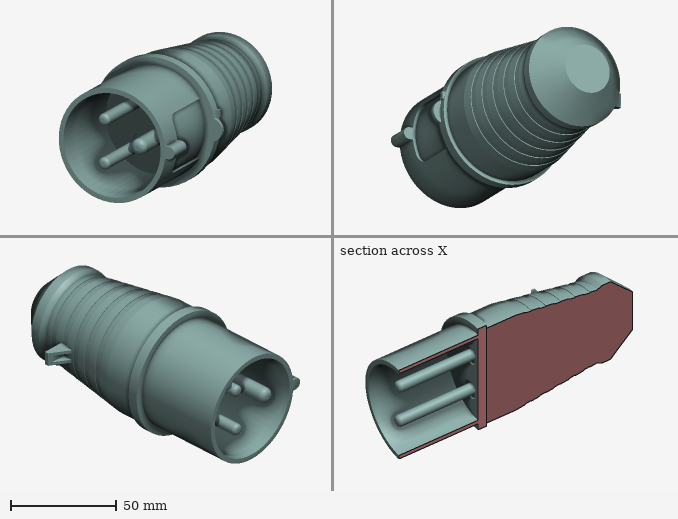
import cadquery as cq
import math


shroud_outer_radius = 56.5 / 2
shroud_inner_radius = 51.5 / 2
flange_radius = 64.25 / 2
flange_front = 45.25
flange_thickness = 5.25
flange_back = flange_front + flange_thickness
shroud_floor = flange_front

key_tip_centre = 30.0
key_tip_radius = 3.0
key_length = 13.0
flange_lug_radius = 5.82
flange_lug_thickness = 2.0

relief_floor_radius = 26.8
relief_half_width = 14.7
relief_corner_radius = 4.5

index_outer_x = 32.65
index_bottom = 5.5
index_top = 9.2
index_front = flange_front + 2.9
index_thickness = 2.0

pin_circle_radius = 12.5
pin_tip_flat_radius = 1.0
phase_pin_radius = 3.0
earth_pin_radius = 4.0
phase_pin_tip = 2.8
earth_pin_tip = 1.35
phase_recess_radius = 5.0
phase_recess_depth = 1.0
earth_angle = 0
phase_angles = (120, 240)

handle_radius = 60.5 / 2
handle_length = 134.0
taper_start = 67.0
taper_end = 113.4
taper_end_radius = 23.25
collar_radius = 49.5 / 2
collar_front = 116.4
cable_end_radius = 12.0
collar_back = handle_length - (collar_radius - cable_end_radius)

groove_count = 5
groove_start = 72.3
groove_pitch = 8.4
groove_width = 3.5
groove_depth = 0.4

catch_tip_x = -35.82
catch_width = 7.0
catch_back = 101.9
catch_tip_thickness = 2.0
catch_root_x = -26.2
catch_root_front = 93.9
catch_embed_x = -22.0
catch_wall = 1.7
catch_tip_wall = 1.9
catch_back_wall = 2.9


def cylinder(radius, y_start, y_end, x=0.0, z=0.0):
    """Cylinder parallel to Y, centred on (x, z)."""
    disc = cq.Workplane("XZ", origin=(x, y_start, z)).circle(radius)
    return disc.extrude(-(y_end - y_start))


def block(x_range, y_range, z_range):
    """Axis-aligned block between the given limits."""
    sizes = [high - low for low, high in (x_range, y_range, z_range)]
    corner = (x_range[0], y_range[0], z_range[0])
    return cq.Workplane("XY").box(*sizes, centered=False).translate(corner)


def pin_place(angle):
    """The (x, z) place of a pin at an angle on the pin circle."""
    turn = math.radians(angle)
    return pin_circle_radius * math.cos(turn), pin_circle_radius * math.sin(turn)


def contact_pin(radius, tip, angle):
    """Pin with a rounded tip, standing on the shroud floor and rooted in the flange."""
    x, z = pin_place(angle)
    pin = cylinder(radius, tip, flange_back, x, z)
    return pin.faces("<Y").edges().fillet(radius - pin_tip_flat_radius)


def shroud_key():
    """Round-nosed key on the outside of the shroud mouth."""
    bar = block((shroud_inner_radius, key_tip_centre), (0, key_length), (-key_tip_radius, key_tip_radius))
    key = bar.union(cylinder(key_tip_radius, 0, key_length, key_tip_centre))
    return key.cut(cylinder(shroud_inner_radius, 0, key_length))


def wall_relief():
    """Shallow round-cornered relief between the key and the flange."""
    window = block(
        (0, flange_radius),
        (key_length, flange_front),
        (-relief_half_width, relief_half_width),
    )
    window = window.faces("<Y").edges("|X").fillet(relief_corner_radius)
    return window.cut(cylinder(relief_floor_radius, 0, flange_front))


def build_front():
    """Shroud, flange and contact pins."""
    front = cylinder(shroud_outer_radius, 0, flange_front)
    front = front.cut(wall_relief())
    front = front.union(cylinder(flange_radius, flange_front, flange_back))
    front = front.cut(cylinder(shroud_inner_radius, 0, shroud_floor))
    front = front.union(shroud_key())
    lug_back = flange_front + flange_lug_thickness
    front = front.union(cylinder(flange_lug_radius, flange_front, lug_back, key_tip_centre))
    front = front.union(
        block(
            (key_tip_centre, index_outer_x),
            (index_front, index_front + index_thickness),
            (index_bottom, index_top),
        )
    )
    for angle in phase_angles:
        x, z = pin_place(angle)
        recess_floor = shroud_floor + phase_recess_depth
        front = front.cut(cylinder(phase_recess_radius, shroud_floor, recess_floor, x, z))
        front = front.union(contact_pin(phase_pin_radius, phase_pin_tip, angle))
    return front.union(contact_pin(earth_pin_radius, earth_pin_tip, earth_angle))


def taper_radius(y):
    """Radius of the ungrooved grip taper at y."""
    share = (y - taper_start) / (taper_end - taper_start)
    return handle_radius + share * (taper_end_radius - handle_radius)


def handle_body():
    """Revolved handle with its grooved grip taper, collar and cable cone."""
    profile = cq.Workplane("XY").moveTo(0, flange_back).lineTo(handle_radius, flange_back)
    profile = profile.lineTo(handle_radius, taper_start)
    for index in range(groove_count):
        front = groove_start + index * groove_pitch
        back = front + groove_width
        profile = profile.lineTo(taper_radius(front), front)
        profile = profile.lineTo(taper_radius(front) - groove_depth, front)
        profile = profile.lineTo(taper_radius(back) - groove_depth, back)
        profile = profile.lineTo(taper_radius(back), back)
    profile = profile.lineTo(taper_end_radius, taper_end)
    profile = profile.lineTo(collar_radius, collar_front)
    profile = profile.lineTo(collar_radius, collar_back)
    profile = profile.lineTo(cable_end_radius, handle_length)
    profile = profile.lineTo(0, handle_length)
    return profile.close().revolve(360, (0, 0, 0), (0, 1, 0))


def catch():
    """Wedge-shaped catch with a pocket sunk into its sloping front."""
    tip_front = catch_back - catch_tip_thickness
    slope = (catch_root_front - tip_front) / (catch_root_x - catch_tip_x)
    embed_front = tip_front + slope * (catch_embed_x - catch_tip_x)
    wedge = (
        cq.Workplane("XY")
        .moveTo(catch_tip_x, catch_back)
        .lineTo(catch_tip_x, tip_front)
        .lineTo(catch_embed_x, embed_front)
        .lineTo(catch_embed_x, catch_back)
        .close()
        .extrude(catch_width / 2, both=True)
    )
    pocket_half_width = catch_width / 2 - catch_wall
    pocket = block(
        (catch_tip_x + catch_tip_wall, catch_root_x),
        (embed_front, catch_back - catch_back_wall),
        (-pocket_half_width, pocket_half_width),
    )
    return wedge.cut(pocket)


def build_handle():
    """Handle with its side catch."""
    return handle_body().union(catch())


plug_front = build_front()
handle = build_handle()

result = cq.Compound.makeCompound([plug_front.val(), handle.val()])